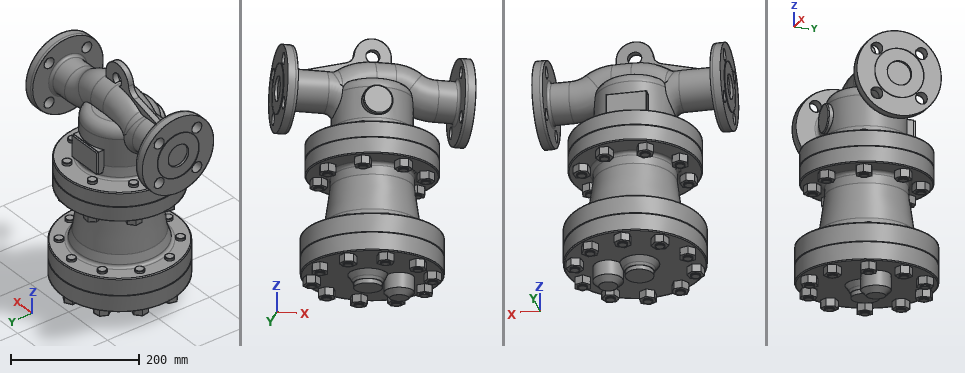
import cadquery as cq
import math


bottom_flange_z = 33.7
bottom_joint_z = 64.5
bottom_flange_top_z = 96.5
neck_base_z = 102.0
neck_flare_z = 117.0
neck_straight_z = 178.0
top_flange_z = 198.5
top_joint_z = 226.0
top_flange_top_z = 252.8
head_foot_z = 257.0
head_straight_z = 273.5
head_top_z = 345.5
pipe_z = 333.0
lug_top_z = 427

bottom_flange_radius = 225.0 / 2
top_flange_radius = 210.0 / 2
neck_base_radius = 161.0 / 2
neck_flare_radius = 150.0 / 2
neck_radius = 132.0 / 2
head_foot_radius = 135.5 / 2
head_radius = 128 / 2
head_edge_radius = 20.0
flange_chamfer = 1.5
joint_groove_width = 1.0
joint_groove_depth = 1.0

stud_diameter = 16.0
stud_chamfer = 1.0
nut_corner_diameter = 27.8
nut_height = 13.2
stud_tail = 2.5
top_stud_projection = 5.0
bottom_stud_projection = 4.3
top_stud_count = 8
top_stud_circle_radius = 85.0
bottom_stud_count = 10
bottom_stud_circle_radius = 94.8

pipe_radius = 66.0 / 2
pipe_rise = 21.8
crown_end_x = 31.5
outlet_bend_end_x = 99.0
crown_bend_radius = 67.5
crown_bend_angle = 50
outlet_upper_bend_radius = 47.5
inlet_elbow_radius = 46.0
inlet_elbow_start_x = -76.5
inlet_crease_fillet = 17.0

pipe_face_x = 303 / 2
raised_face_height = 1.3
raised_face_radius = 81 / 2
pipe_flange_radius = 140.0 / 2
pipe_flange_thickness = 16.5
rim_taper_length = 4.3
rim_taper_depth = 1.0
pipe_flange_fillet = 4.5
bolt_hole_count = 4
bolt_hole_diameter = 19.0
bolt_hole_circle_radius = 104.5 / 2
bore_diameter = 40.0
bore_depth = 4.3

lug_radius = 29.5
lug_hole_diameter = 22.0
lug_thickness = 10.2
lug_blend_radius = 19.0
lug_ramp_start_x = -109.5
lug_ramp_angle = math.radians(14.7)

port_diameter = 48.0
port_x = -6.0
port_z = 302.5
port_face_y = -70.0
port_chamfer = 1.5
pad_width = 65.0
pad_bottom_z = 261.5
pad_top_z = 303.0
pad_face_y = 66.0
plate_face_y = 69.5
plate_inset = 1.0

drain_x = -7.0
drain_radius = 45.0 / 2
drain_bottom_z = 13.0
drain_shoulder_z = 20.0
drain_shoulder_radius = 23.0
drain_collar_z = 24.8
drain_collar_radius = 25.0
drain_foot_radius = 31.5
plug_x = 43.0
plug_radius = 48.0 / 2
plug_chamfer = 9.0


def arc_middle(center_x, center_z, radius, start, end):
    """Point halfway along an arc, given its end angles in radians."""
    middle = (start + end) / 2
    return center_x + radius * math.cos(middle), center_z + radius * math.sin(middle)


def make_vessel():
    """Neck, flanges and domed head as one revolved body."""
    neck_root_fillet = neck_base_z - bottom_flange_top_z
    neck_top_fillet = neck_root_fillet
    head_root_fillet = head_foot_z - top_flange_top_z
    profile = (
        cq.Workplane("XZ")
        .moveTo(0, bottom_flange_z)
        .lineTo(bottom_flange_radius, bottom_flange_z)
        .lineTo(bottom_flange_radius, bottom_flange_top_z)
        .lineTo(neck_base_radius + neck_root_fillet, bottom_flange_top_z)
        .radiusArc((neck_base_radius, neck_base_z), neck_root_fillet)
        .lineTo(neck_flare_radius, neck_flare_z)
        .lineTo(neck_radius, neck_straight_z)
        .lineTo(neck_radius, top_flange_z - neck_top_fillet)
        .radiusArc((neck_radius + neck_top_fillet, top_flange_z), neck_top_fillet)
        .lineTo(top_flange_radius, top_flange_z)
        .lineTo(top_flange_radius, top_flange_top_z)
        .lineTo(head_foot_radius + head_root_fillet, top_flange_top_z)
        .radiusArc((head_foot_radius, head_foot_z), head_root_fillet)
        .lineTo(head_radius, head_straight_z)
        .lineTo(head_radius, head_top_z - head_edge_radius)
        .radiusArc((head_radius - head_edge_radius, head_top_z), -head_edge_radius)
        .lineTo(0, head_top_z)
        .close()
    )
    vessel = profile.revolve(360, (0, 0), (0, 1))
    for size_rank in (-2, -1):
        vessel = vessel.edges(cq.selectors.RadiusNthSelector(size_rank)).chamfer(flange_chamfer)
    return vessel


def make_joint_groove(radius, joint_z):
    """Thin ring that marks the joint between two mating flanges."""
    return (
        cq.Workplane("XY", origin=(0, 0, joint_z - joint_groove_width / 2))
        .circle(radius + joint_groove_depth)
        .circle(radius - joint_groove_depth)
        .extrude(joint_groove_width)
    )


def make_studs(count, circle_radius, first_angle, flange_z, top_z):
    """Ring of studs with a hex nut below the flange and an end showing above it."""
    tail_z = flange_z - nut_height - stud_tail
    stud = (
        cq.Workplane("XY", origin=(circle_radius, 0, tail_z))
        .circle(stud_diameter / 2)
        .extrude(top_z - tail_z)
        .faces("<Z or >Z")
        .chamfer(stud_chamfer)
    )
    nut = (
        cq.Workplane("XY", origin=(circle_radius, 0, flange_z - nut_height))
        .polygon(6, nut_corner_diameter)
        .extrude(nut_height)
    )
    bolt = stud.union(nut)
    bolts = cq.Workplane("XY")
    for index in range(count):
        angle = first_angle + index * 360 / count
        bolts = bolts.add(bolt.rotate((0, 0, 0), (0, 0, 1), angle))
    return bolts.combine()


def make_outlet():
    """Crown and S-bend that brings the pipe down to the +X flange."""
    run = outlet_bend_end_x - crown_end_x
    bend_angle = 2 * math.atan(pipe_rise / run)
    lower_bend_radius = run / math.sin(bend_angle) - outlet_upper_bend_radius
    crown_z = pipe_z + pipe_rise
    upper_center_z = crown_z - outlet_upper_bend_radius
    lower_center_z = pipe_z + lower_bend_radius
    joint_angle = math.pi / 2 - bend_angle
    joint = (
        crown_end_x + outlet_upper_bend_radius * math.cos(joint_angle),
        upper_center_z + outlet_upper_bend_radius * math.sin(joint_angle),
    )
    upper_middle = arc_middle(
        crown_end_x, upper_center_z, outlet_upper_bend_radius, math.pi / 2, joint_angle
    )
    lower_middle = arc_middle(
        outlet_bend_end_x, lower_center_z, lower_bend_radius, -math.pi / 2, joint_angle - math.pi
    )
    path = (
        cq.Workplane("XZ")
        .moveTo(0, crown_z)
        .lineTo(crown_end_x, crown_z)
        .threePointArc(upper_middle, joint)
        .threePointArc(lower_middle, (outlet_bend_end_x, pipe_z))
        .lineTo(pipe_face_x - raised_face_height, pipe_z)
    )
    return cq.Workplane("YZ", origin=(0, 0, crown_z)).circle(pipe_radius).sweep(path)


def make_inlet():
    """Pipe from the -X flange turning down into the head, joined to the bend from the crown."""
    flange_x = -pipe_face_x + raised_face_height
    straight = (
        cq.Workplane("YZ", origin=(flange_x, 0, pipe_z))
        .circle(pipe_radius)
        .extrude(inlet_elbow_start_x - flange_x)
    )
    elbow = (
        cq.Workplane("YZ", origin=(inlet_elbow_start_x, 0, pipe_z))
        .circle(pipe_radius)
        .revolve(90, (0, -inlet_elbow_radius), (1, -inlet_elbow_radius))
    )
    crown_bend = (
        cq.Workplane("YZ", origin=(0, 0, pipe_z + pipe_rise))
        .circle(pipe_radius)
        .revolve(crown_bend_angle, (0, -crown_bend_radius), (-1, -crown_bend_radius))
    )
    return straight.union(elbow).union(crown_bend)


def blend_inlet_crease(body):
    """Round the crease where the inlet elbow meets the bend from the crown."""
    crease_zone = cq.selectors.BoxSelector(
        (inlet_elbow_start_x, -4.3, head_top_z),
        (inlet_elbow_start_x / 2, 4.3, pipe_z + pipe_radius),
    )
    return body.edges(crease_zone).fillet(inlet_crease_fillet)


def make_inlet_flange():
    """Raised-face flange at the -X end, filleted onto the pipe."""
    disc_x = -pipe_face_x + raised_face_height
    back_x = disc_x + pipe_flange_thickness
    return (
        cq.Workplane("XY", origin=(0, 0, pipe_z))
        .moveTo(-pipe_face_x, 0)
        .lineTo(-pipe_face_x, raised_face_radius)
        .lineTo(disc_x, raised_face_radius)
        .lineTo(disc_x, pipe_flange_radius)
        .lineTo(back_x - rim_taper_length, pipe_flange_radius)
        .lineTo(back_x, pipe_flange_radius - rim_taper_depth)
        .lineTo(back_x, pipe_radius + pipe_flange_fillet)
        .radiusArc((back_x + pipe_flange_fillet, pipe_radius), -pipe_flange_fillet)
        .lineTo(back_x + pipe_flange_fillet, 0)
        .close()
        .revolve(360, (0, 0), (1, 0))
    )


def make_inlet_flange_holes():
    """Four bolt holes and the shallow bore of the -X flange."""
    face = cq.Workplane("YZ", origin=(-pipe_face_x, 0, pipe_z))
    bolt_holes = (
        face.polarArray(bolt_hole_circle_radius, 45, 360, bolt_hole_count)
        .circle(bolt_hole_diameter / 2)
        .extrude(raised_face_height + pipe_flange_thickness)
    )
    bore = face.circle(bore_diameter / 2).extrude(bore_depth)
    return bolt_holes.union(bore)


def make_lug():
    """Eye plate whose ramp runs down onto the inlet pipe."""
    ramp_start_z = pipe_z + pipe_radius
    eye_z = lug_top_z - lug_radius
    plate_bottom_z = pipe_z
    cos_ramp = math.cos(lug_ramp_angle)
    sin_ramp = math.sin(lug_ramp_angle)
    eye_dx = -lug_ramp_start_x
    eye_dz = eye_z - ramp_start_z
    eye_u = eye_dx * cos_ramp + eye_dz * sin_ramp
    eye_v = eye_dz * cos_ramp - eye_dx * sin_ramp
    blend_v = lug_blend_radius
    blend_u = eye_u - math.sqrt((lug_radius + lug_blend_radius) ** 2 - (eye_v - blend_v) ** 2)
    blend_x = lug_ramp_start_x + blend_u * cos_ramp - blend_v * sin_ramp
    blend_z = ramp_start_z + blend_u * sin_ramp + blend_v * cos_ramp
    ramp_end = (
        blend_x + lug_blend_radius * sin_ramp,
        blend_z - lug_blend_radius * cos_ramp,
    )
    touch_angle = math.atan2(eye_z - blend_z, -blend_x)
    eye_start = (
        blend_x + lug_blend_radius * math.cos(touch_angle),
        blend_z + lug_blend_radius * math.sin(touch_angle),
    )
    blend_middle = arc_middle(
        blend_x, blend_z, lug_blend_radius, lug_ramp_angle - math.pi / 2, touch_angle
    )
    outline = (
        cq.Workplane("XZ")
        .moveTo(lug_ramp_start_x, plate_bottom_z)
        .lineTo(lug_ramp_start_x, ramp_start_z)
        .lineTo(*ramp_end)
        .threePointArc(blend_middle, eye_start)
        .threePointArc((0, eye_z + lug_radius), (lug_radius, eye_z))
        .lineTo(lug_radius, plate_bottom_z)
        .close()
        .extrude(lug_thickness / 2, both=True)
    )
    eye_hole = (
        cq.Workplane("XZ", origin=(0, 0, eye_z))
        .circle(lug_hole_diameter / 2)
        .extrude(lug_thickness / 2, both=True)
    )
    return outline.cut(eye_hole)


def make_side_port():
    """Round boss on the -Y side of the head."""
    return (
        cq.Workplane("XZ", origin=(port_x, 0, port_z))
        .circle(port_diameter / 2)
        .extrude(-port_face_y)
        .faces("<Y")
        .chamfer(port_chamfer)
    )


def make_name_pad():
    """Flat pad with a thin plate on the +Y side of the head."""
    pad_height = pad_top_z - pad_bottom_z
    pad_center_z = (pad_top_z + pad_bottom_z) / 2
    pad = (
        cq.Workplane("XY", origin=(0, 0, pad_center_z))
        .box(pad_width, pad_face_y, pad_height, centered=(True, False, True))
    )
    plate = (
        cq.Workplane("XY", origin=(0, 0, pad_center_z))
        .box(
            pad_width - 2 * plate_inset,
            plate_face_y,
            pad_height - 2 * plate_inset,
            centered=(True, False, True),
        )
    )
    return pad.union(plate)


def make_drain_boss():
    """Stepped boss flaring into the underside of the bottom flange."""
    return (
        cq.Workplane("XZ", origin=(drain_x, 0, 0))
        .moveTo(0, drain_bottom_z)
        .lineTo(drain_radius, drain_bottom_z)
        .lineTo(drain_radius, drain_shoulder_z)
        .lineTo(drain_shoulder_radius, drain_shoulder_z)
        .lineTo(drain_collar_radius, drain_collar_z)
        .lineTo(drain_foot_radius, bottom_flange_z)
        .lineTo(drain_foot_radius, bottom_joint_z)
        .lineTo(0, bottom_joint_z)
        .close()
        .revolve(360, (0, 0), (0, 1))
    )


def make_plug():
    """Chamfered cylindrical plug beside the drain boss."""
    return (
        cq.Workplane("XY", origin=(plug_x, 0, 0))
        .circle(plug_radius)
        .extrude(bottom_joint_z)
        .faces("<Z")
        .chamfer(plug_chamfer)
    )


inlet_flange = make_inlet_flange()
inlet_flange_holes = make_inlet_flange_holes()

result = (
    blend_inlet_crease(make_vessel().union(make_inlet()))
    .union(make_outlet())
    .union(inlet_flange)
    .union(inlet_flange.mirror("YZ"))
    .union(make_lug())
    .union(make_side_port())
    .union(make_name_pad())
    .union(make_drain_boss())
    .union(make_plug())
    .union(make_studs(
        top_stud_count, top_stud_circle_radius, 180 / top_stud_count,
        top_flange_z, top_flange_top_z + top_stud_projection,
    ))
    .union(make_studs(
        bottom_stud_count, bottom_stud_circle_radius, 90,
        bottom_flange_z, bottom_flange_top_z + bottom_stud_projection,
    ))
    .cut(inlet_flange_holes)
    .cut(inlet_flange_holes.mirror("YZ"))
    .cut(make_joint_groove(top_flange_radius, top_joint_z))
    .cut(make_joint_groove(bottom_flange_radius, bottom_joint_z))
)